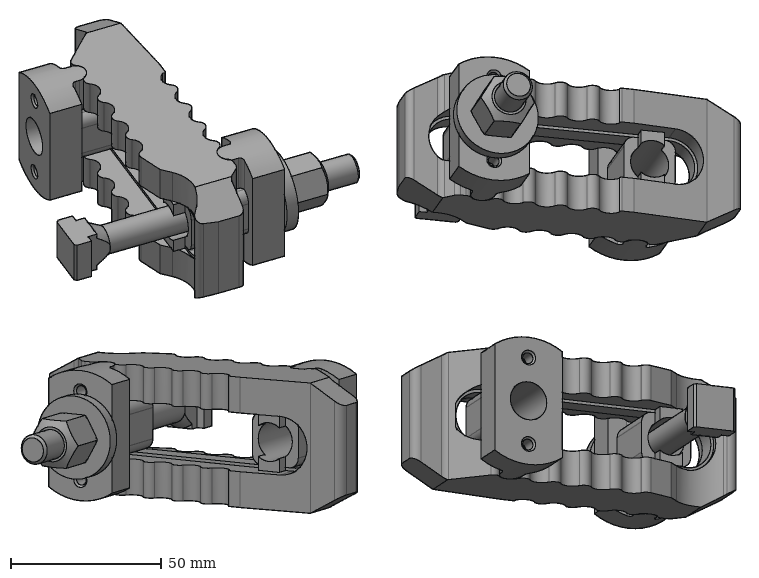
import cadquery as cq
import math


arm_length = 115.0
arm_width = 44.0

groove_count = 5
groove_span = 44.2
groove_radius = 4.0
tooth_radius = 2.5
first_groove_x_below = 30.0
first_groove_x_above = 46.1
groove_floor_below = -9.2
groove_floor_above = 11.4

nose_height = 12.1
nose_radius = 2.9
nose_ramp_x = 11.6
nose_ramp_radius = 3.0
nose_ramp_slope = 0.97
first_tooth_radius = 2.1
back_ramp_start_x = 12.2
back_ramp_end_x = 38.0
back_step_radius = 0.6
belly_corner = (89.2, -9.4)
belly_slope = 0.34
belly_corner_radius = 0.9
hollow_corner = (100.7, 1.6)
hollow_radius = 12.9
toe_tip = (113.7, -9.3)
toe_tip_radius = 2.3
toe_side_y = 0.0
toe_top_y = 10.0
toe_top_radius = 2.5
toe_ramp_x = 103.2
toe_ramp_radius = 3.0

end_taper_length = 12.3
end_taper_width = 6.9

slot_width = 17.7
slot_left_x = 14.5
slot_right_x = 106.4
recess_margin = 1.0
land_height = 7.4

block_length = 24.4
block_thickness = 11.7
tongue_height = 7.0
tongue_root_radius = 1.5
boss_corner_radius = 3.6
lug_height = 4.3
block_bore_radius = 6.5
pin_hole_radius = 1.8
pin_hole_mouth_radius = 2.5
pin_hole_offset = 15.0
pin_hole_depth = 6.9
drill_point_angle = 118.0

washer_radius = 14.0
washer_thickness = 4.3
nut_flats = 16.0
nut_height = 14.8
nut_top_radius = 5.9
nut_bottom_radius = 8.6
nut_chamfer_angle = 30.0

bolt_diameter = 10.0
bolt_length = 106.0
bolt_end_chamfer = 0.9
bolt_protrusion = 12.2
head_width = 15.0
head_height = 6.1
head_chamfer = 0.8
neck_width = 9.7
neck_height = 3.2
neck_cone_height = 4.8

shortest_edge = 0.0001

groove_pitch = groove_span / (groove_count - 1)
flank_angle = math.asin(groove_pitch / 2 / (groove_radius + tooth_radius))
flank_slope = math.tan(flank_angle)
flank_half_width = groove_radius * math.sin(flank_angle)
flank_rise = groove_radius * (1 - math.cos(flank_angle))
tooth_height = (groove_radius + tooth_radius) * (1 - math.cos(flank_angle))
tooth_top_above = groove_floor_above + tooth_height
groove_overshoot = groove_radius * (1 / math.cos(flank_angle) - 1)
tooth_overshoot = tooth_radius * (1 / math.cos(flank_angle) - 1)
last_groove_x_below = first_groove_x_below + groove_span
last_groove_x_above = first_groove_x_above + groove_span

land_middle_y = (groove_floor_below + groove_floor_above) / 2
boss_height = tongue_height + land_middle_y + land_height / 2 - groove_floor_below
block_base_above = groove_floor_above + tongue_height
washer_y = block_base_above + block_thickness
nut_y = washer_y + washer_thickness
bolt_top_y = nut_y + nut_height + bolt_protrusion
bolt_bottom_y = bolt_top_y - bolt_length
bolt_x = last_groove_x_above
bolt_radius = bolt_diameter / 2


def rounded_outline(corners):
    """Closed outline in XY from (x, y, radius) corners; a radius of 0 keeps a corner sharp."""
    stretches = []
    for i, (x, y, radius) in enumerate(corners):
        corner = cq.Vector(x, y)
        before = (cq.Vector(*corners[i - 1][:2]) - corner).normalized()
        after = (cq.Vector(*corners[(i + 1) % len(corners)][:2]) - corner).normalized()
        if radius == 0:
            stretches.append([corner])
            continue
        half_angle = before.getAngle(after) / 2
        setback = radius / math.tan(half_angle)
        middle_distance = radius / math.sin(half_angle) - radius
        middle = corner + (before + after).normalized() * middle_distance
        stretches.append([corner + before * setback, middle, corner + after * setback])

    edges = []
    for i, stretch in enumerate(stretches):
        if len(stretch) == 3:
            edges.append(cq.Edge.makeThreePointArc(*stretch))
        start = stretch[-1]
        end = stretches[(i + 1) % len(stretches)][0]
        if (end - start).Length > shortest_edge:
            edges.append(cq.Edge.makeLine(start, end))
    return cq.Wire.assembleEdges(edges)


def extrude_outline(corners, width):
    """Solid between z = -width / 2 and width / 2 with a rounded outline in XY."""
    face = cq.Face.makeFromWires(rounded_outline(corners))
    solid = cq.Solid.extrudeLinear(face, cq.Vector(0, 0, width))
    return cq.Workplane(solid.translate(cq.Vector(0, 0, -width / 2)))


def along_y(start_y):
    """Plane at start_y that extrudes towards +Y, with its local axes along X and -Z."""
    return cq.Workplane("XZ", origin=(0, start_y, 0)).transformed(rotate=(180, 0, 0))


def box_on(start_y, length_x, length_y, length_z):
    return along_y(start_y).rect(length_x, length_z).extrude(length_y)


def meeting_point(point_a, slope_a, point_b, slope_b):
    """Where two sloped lines cross."""
    (xa, ya), (xb, yb) = point_a, point_b
    x = (yb - ya + slope_a * xa - slope_b * xb) / (slope_a - slope_b)
    return x, ya + slope_a * (x - xa)


def tooth_row(first_x, floor_y, outward):
    """Corners of the grooves and of the teeth between them, from left to right."""
    groove_y = floor_y - outward * groove_overshoot
    tooth_y = floor_y + outward * (tooth_height + tooth_overshoot)
    corners = []
    for i in range(groove_count):
        groove_x = first_x + i * groove_pitch
        if i > 0:
            corners.append((groove_x - groove_pitch / 2, tooth_y, tooth_radius))
        corners.append((groove_x, groove_y, groove_radius))
    return corners


def arm_outline():
    flank_y_below = groove_floor_below - flank_rise
    first_flank_below = (first_groove_x_below - flank_half_width, flank_y_below)
    last_flank_below = (last_groove_x_below + flank_half_width, flank_y_below)
    first_tooth = meeting_point((nose_ramp_x, 0), -nose_ramp_slope, first_flank_below, flank_slope)
    last_tooth = meeting_point(belly_corner, belly_slope, last_flank_below, -flank_slope)

    step_x = first_groove_x_above - flank_half_width
    step_foot_y = groove_floor_above + flank_rise
    last_tooth_top_x = last_groove_x_above + groove_pitch / 2
    back_end_x = last_tooth_top_x - tooth_radius * math.tan(flank_angle / 2)
    toe_ramp_top_x = toe_ramp_x - (tooth_top_above - toe_top_y)

    lower_edge = [
        (0, 0, nose_radius),
        (nose_ramp_x, 0, nose_ramp_radius),
        (*first_tooth, first_tooth_radius),
        *tooth_row(first_groove_x_below, groove_floor_below, -1),
        (*last_tooth, tooth_radius),
        (*belly_corner, belly_corner_radius),
        (*hollow_corner, hollow_radius),
        (*toe_tip, toe_tip_radius),
    ]
    upper_edge = [
        (0, nose_height, nose_radius),
        (back_ramp_start_x, nose_height, 0),
        (back_ramp_end_x, tooth_top_above, 0),
        (step_x, tooth_top_above, back_step_radius),
        (step_x, step_foot_y, 0),
        *tooth_row(first_groove_x_above, groove_floor_above, 1),
        (back_end_x, tooth_top_above, tooth_radius),
        (toe_ramp_top_x, tooth_top_above, tooth_radius),
        (toe_ramp_x, toe_top_y, toe_ramp_radius),
        (arm_length, toe_top_y, toe_top_radius),
        (arm_length, toe_side_y, 0),
    ]
    return lower_edge + upper_edge[::-1]


def slot_cutter(start_y, height, margin):
    """Round-ended slot along X, widened all round by the margin."""
    length = slot_right_x - slot_left_x + 2 * margin
    middle_x = (slot_left_x + slot_right_x) / 2
    return along_y(start_y).center(middle_x, 0).slot2D(length, slot_width + 2 * margin).extrude(height)


def make_arm():
    reach = arm_length
    half_width = arm_width / 2
    tip_half_width = half_width - end_taper_width
    right_taper_x = arm_length - end_taper_length
    plan = [
        (0, tip_half_width),
        (end_taper_length, half_width),
        (right_taper_x, half_width),
        (arm_length, tip_half_width),
        (arm_length, -tip_half_width),
        (right_taper_x, -half_width),
        (end_taper_length, -half_width),
        (0, -tip_half_width),
    ]
    arm = extrude_outline(arm_outline(), arm_width)
    arm = arm.intersect(along_y(-reach).polyline(plan).close().extrude(2 * reach))

    land_bottom_y = land_middle_y - land_height / 2
    land_top_y = land_middle_y + land_height / 2
    arm = arm.cut(slot_cutter(-reach, 2 * reach, 0))
    arm = arm.cut(slot_cutter(land_bottom_y - reach, reach, recess_margin))
    return arm.cut(slot_cutter(land_top_y, reach, recess_margin))


def pin_hole(z):
    """Blind drilled hole with a 45 degree countersink, opening on the block's outer face."""
    sink_depth = pin_hole_mouth_radius - pin_hole_radius
    point_depth = pin_hole_radius / math.tan(math.radians(drill_point_angle / 2))
    profile = [
        (0, 0),
        (pin_hole_mouth_radius, 0),
        (pin_hole_radius, sink_depth),
        (pin_hole_radius, pin_hole_depth),
        (0, pin_hole_depth + point_depth),
    ]
    hole = cq.Workplane("XY").polyline(profile).close().revolve(360, (0, 0), (0, 1))
    return hole.translate((0, -block_thickness, z))


def make_block():
    """Block below the arm: tongue, boss and lugs point to +Y, with the tongue's base at y = 0."""
    half_length = block_length / 2
    profile = [
        (-half_length, -block_thickness, 0),
        (half_length, -block_thickness, 0),
        (half_length, 0, 0),
        (groove_radius, 0, tongue_root_radius),
        (groove_radius, tongue_height, groove_radius),
        (-groove_radius, tongue_height, groove_radius),
        (-groove_radius, 0, tongue_root_radius),
        (-half_length, 0, 0),
    ]
    block = extrude_outline(profile, arm_width)
    full_height = block_thickness + boss_height + lug_height
    block = block.intersect(along_y(-block_thickness).circle(arm_width / 2).extrude(full_height))

    boss = box_on(0, slot_width, boss_height, slot_width)
    boss = boss.edges("|Y").fillet(boss_corner_radius)
    lug_span = slot_width + 2 * recess_margin
    lugs = box_on(boss_height, 2 * groove_radius, lug_height, lug_span)
    lugs = lugs.union(box_on(tongue_height, 2 * groove_radius, boss_height - tongue_height, slot_width))

    block = block.union(boss).union(lugs)
    block = block.cut(along_y(-block_thickness).circle(block_bore_radius).extrude(full_height))
    for z in (-pin_hole_offset, pin_hole_offset):
        block = block.cut(pin_hole(z))
    return block


def make_blocks():
    """One block below the arm's first groove, and one turned over above its last groove."""
    placements = [
        (0, first_groove_x_below, groove_floor_below - tongue_height),
        (180, last_groove_x_above, block_base_above),
    ]
    blocks = []
    for turn, x, base_y in placements:
        block = make_block().rotate((0, 0, 0), (0, 0, 1), turn)
        blocks.append(block.translate((x, base_y, 0)))
    return blocks


def make_washer():
    washer = along_y(washer_y).circle(washer_radius).circle(block_bore_radius).extrude(washer_thickness)
    return washer.translate((bolt_x, 0, 0))


def make_nut():
    """Hexagon with two flats facing +Z and -Z, and conical chamfers at both ends."""
    corner_radius = nut_flats / math.sqrt(3)
    slope = math.tan(math.radians(nut_chamfer_angle))
    top_drop = (corner_radius - nut_top_radius) * slope
    bottom_drop = (corner_radius - nut_bottom_radius) * slope
    profile = [
        (0, 0),
        (nut_bottom_radius, 0),
        (corner_radius, bottom_drop),
        (corner_radius, nut_height - top_drop),
        (nut_top_radius, nut_height),
        (0, nut_height),
    ]
    cones = cq.Workplane("XY").polyline(profile).close().revolve(360, (0, 0), (0, 1))
    nut = along_y(0).polygon(6, 2 * corner_radius).extrude(nut_height)
    nut = nut.intersect(cones)
    nut = nut.cut(along_y(0).circle(bolt_radius).extrude(nut_height))
    return nut.translate((bolt_x, nut_y, 0))


def make_bolt():
    """T-bolt with its head's underside at the bottom end."""
    neck_y = head_height + neck_height
    shank_y = neck_y + neck_cone_height

    head = box_on(0, head_width, head_height, head_width)
    head = head.faces("<Y").edges("|Z").chamfer(head_chamfer)
    neck = box_on(0, neck_width, neck_y, head_width)

    cone = cq.Solid.makeCone(
        head_width / 2, bolt_radius, neck_cone_height, cq.Vector(0, neck_y, 0), cq.Vector(0, 1, 0)
    )
    flattened_cone = cq.Workplane(cone).intersect(box_on(neck_y, neck_width, neck_cone_height, head_width))

    shank = along_y(shank_y).circle(bolt_radius).extrude(bolt_length - shank_y)
    shank = shank.faces(">Y").chamfer(bolt_end_chamfer)

    bolt = head.union(neck).union(flattened_cone).union(shank)
    return bolt.translate((bolt_x, bolt_bottom_y, 0))


arm = make_arm()
blocks = make_blocks()
washer = make_washer()
nut = make_nut()
bolt = make_bolt()

result = cq.Compound.makeCompound(
    [arm.val(), *[block.val() for block in blocks], washer.val(), nut.val(), bolt.val()]
)